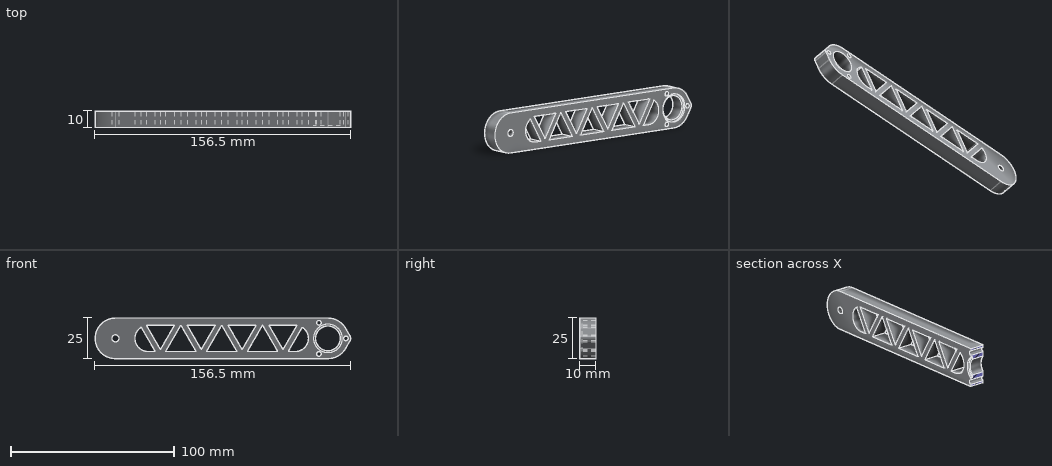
import cadquery as cq
import math

thickness = 10.0
end_radius = 12.5
arm_length = 130.0

nose_radius = 3.0
screw_circle_radius = 11.0

pivot_diameter = 4.2
screw_diameter = 2.7
screw_count = 3
bore_diameter = 15.0
seat_diameter = 17.5
seat_depth = 1.3

window_start = 20.0
window_end = 110.0
window_radius = 8.0
window_middle = (window_start + window_end) / 2
rib_run = 4.0
rib_angle = 60.0
rib_count = 8
rib_pitch = 12.5
rib_length = 4 * window_radius

rib_slope = math.tan(math.radians(rib_angle))
rib_width = rib_run * math.sin(math.radians(rib_angle))
rib_middle_z = window_radius - (rib_pitch - rib_run) / 2 * rib_slope


def prism(outline):
    """Extrude an XZ outline through the full thickness, from the front face to the back."""
    return outline.extrude(-thickness)


def front_plane():
    """XZ sketch plane on the front face (Y = 0)."""
    return cq.Workplane("XZ")


def make_body():
    """Arm with a round pivot end and a nose tangent to both the end round and the tip round."""
    nose_x = arm_length + screw_circle_radius
    tangent_angle = math.acos((end_radius - nose_radius) / screw_circle_radius)
    half_angle = (math.pi / 2 + tangent_angle) / 2

    def on_end(angle):
        return (arm_length + end_radius * math.cos(angle), end_radius * math.sin(angle))

    def on_nose(angle):
        return (nose_x + nose_radius * math.cos(angle), nose_radius * math.sin(angle))

    outline = (
        front_plane()
        .moveTo(0, end_radius)
        .lineTo(arm_length, end_radius)
        .threePointArc(on_end(half_angle), on_end(tangent_angle))
        .lineTo(*on_nose(tangent_angle))
        .threePointArc(on_nose(0), on_nose(-tangent_angle))
        .lineTo(*on_end(-tangent_angle))
        .threePointArc(on_end(-half_angle), on_end(-math.pi / 2))
        .lineTo(0, -end_radius)
        .threePointArc((-end_radius, 0), (0, end_radius))
        .close()
    )
    return prism(outline)


def make_ribs():
    """Zigzag of alternately inclined bars."""
    ribs = cq.Workplane("XZ")
    for index in range(rib_count):
        x = window_middle + (index - (rib_count - 1) / 2) * rib_pitch
        angle = -rib_angle if index % 2 == 0 else rib_angle
        bar = front_plane().center(x, rib_middle_z).transformed(rotate=(0, 0, angle))
        ribs = ribs.add(prism(bar.rect(rib_length, rib_width)))
    return ribs.combine()


def make_window():
    """Slot-shaped opening with the ribs left standing in it."""
    slot_length = window_end - window_start + 2 * window_radius
    slot = front_plane().center(window_middle, 0)
    return prism(slot.slot2D(slot_length, 2 * window_radius)).cut(make_ribs())


def make_holes():
    """Pivot hole, stepped bearing bore and the screw holes around the bore."""
    bearing = front_plane().center(arm_length, 0)
    pivot = prism(front_plane().circle(pivot_diameter / 2))
    bore = prism(bearing.circle(bore_diameter / 2))
    seat = bearing.circle(seat_diameter / 2).extrude(-seat_depth)
    screws = prism(
        bearing.polarArray(screw_circle_radius, 0, 360, screw_count).circle(screw_diameter / 2)
    )
    return pivot.add(bore).add(seat).add(screws)


result = make_body().cut(make_window())
for hole in make_holes().vals():
    result = result.cut(cq.Workplane(hole))